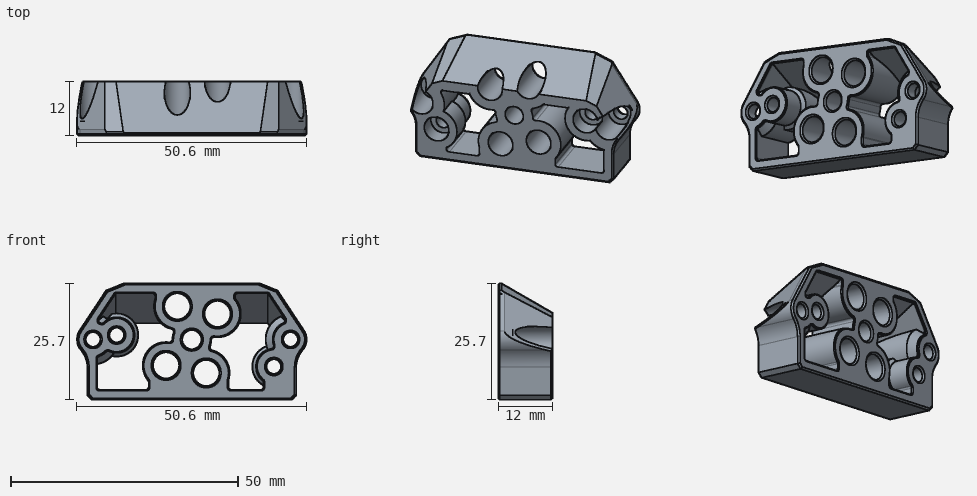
import cadquery as cq
import math

DEPTH = 12.0
HEIGHT = 25.7
EDGE_CHAMFER = 0.4
POCKET_CHAMFER = 0.25

WALL_X = 23.0
NECK_BOTTOM_Z = 7.25
LOBE_R = 3.55
BASE_CORNER = 1.0
RIDGE_X = 14.85
SHOULDER_X = 18.85
SHOULDER_Z = 24.1

ROOF_START_Y = 0.65
ROOF_SLOPE = math.tan(math.radians(30))
FACET_SLOPE = 0.4
EAVE_X = 19.15
ROOF_RIDGE_X = 15.1
EAVE_SLOPE = 0.52
EAVE_RUN = 40.5

FLOOR_Z = 2.25
CEILING_Z = 23.5
POCKET_X = 20.85
CEILING_X = 16.75
CEILING_START_Y = 0.5
POCKET_FILLET = 0.6

HUB = (0, 13.25)
UPPER_OFFSET = (-3.2, 7.35)
SIDE_OFFSET = (5.65, 5.65)
BIG_HOLE_D = 5.7
HUB_HOLE_D = 4.2
SMALL_HOLE_D = 3.2
BIG_BOSS_R = 5.15
HUB_BOSS_R = 4.3
UPPER_WEB_X = 8.1
SIDE_WEB_X = 9.5

LOBE_HOLES = [(-21.75, 13.3), (21.75, 13.3)]
PEG_HOLES = [(-16.55, 14.25), (18.05, 7.35)]
PEG_FOOT_X = 15.8
SMALL_BOSS_R = 3.95

BORE_D = 5.7
LOBE_BORE_DEPTH = 8.8
PEG_BORE_DEPTH = 4.5
LOBE_FLARE_R = 5.5
LOBE_FLARE_Y = 0.4
LOBE_FLARE_LENGTH = 1.6
PEG_FLARE_R = 4.75
PEG_FLARE_Y = 5.3
PEG_FLARE_LENGTH = 0.8


def extrude_y(sketch, start, length):
    """Extrude an XZ sketch towards +Y from y = start."""
    return sketch.extrude(-length).translate((0, start, 0))


def plane():
    return cq.Workplane("XZ")


def cylinder(center, radius, start, length):
    return extrude_y(plane().center(*center).circle(radius), start, length)


def cone(center, start_r, end_r, start, length):
    sketch = plane().workplane(offset=-start).center(*center).circle(start_r)
    return sketch.workplane(offset=-length).circle(end_r).loft(ruled=True)


def block(x0, x1, z0, z1):
    sketch = plane().center((x0 + x1) / 2, (z0 + z1) / 2).rect(x1 - x0, z1 - z0)
    return extrude_y(sketch, 0, DEPTH)


def opposite(center):
    """Point on the other side of the hub."""
    return (2 * HUB[0] - center[0], 2 * HUB[1] - center[1])


upper = (HUB[0] + UPPER_OFFSET[0], HUB[1] + UPPER_OFFSET[1])
side = (HUB[0] + SIDE_OFFSET[0], HUB[1] + SIDE_OFFSET[1])
BIG_HOLES = [upper, opposite(upper), side, opposite(side)]

lobe_x, lobe_z = LOBE_HOLES[1]
to_shoulder = math.atan2(SHOULDER_Z - lobe_z, SHOULDER_X - lobe_x)
shoulder_distance = math.hypot(SHOULDER_X - lobe_x, SHOULDER_Z - lobe_z)
tangent_angle = to_shoulder - math.acos(LOBE_R / shoulder_distance)
side_direction = (math.sin(tangent_angle), -math.cos(tangent_angle))


def lobe_point(angle):
    return (lobe_x + LOBE_R * math.cos(angle), lobe_z + LOBE_R * math.sin(angle))


def make_half_outline():
    """Right half of the block: roof line, lobe, concave neck, wall and corner."""
    overhang = lobe_x - WALL_X
    drop = lobe_z - NECK_BOTTOM_Z
    neck_r = (overhang**2 + drop**2 - LOBE_R**2) / (2 * (LOBE_R + overhang))
    neck_x = WALL_X + neck_r
    neck_angle = math.atan2(-drop, neck_x - lobe_x)
    half_sweep = -neck_angle / 2
    neck_middle = (neck_x - neck_r * math.cos(half_sweep), NECK_BOTTOM_Z + neck_r * math.sin(half_sweep))
    sketch = (
        plane().moveTo(0, 0).lineTo(0, HEIGHT).lineTo(RIDGE_X, HEIGHT).lineTo(SHOULDER_X, SHOULDER_Z)
        .lineTo(*lobe_point(tangent_angle))
        .threePointArc(lobe_point(0), lobe_point(neck_angle))
        .threePointArc(neck_middle, (WALL_X, NECK_BOTTOM_Z))
        .lineTo(WALL_X, BASE_CORNER).lineTo(WALL_X - BASE_CORNER, 0).close()
    )
    return extrude_y(sketch, 0, DEPTH)


def prism(sections):
    """Straight-sided solid through (y, right-hand points) sections mirrored in x = 0."""
    sketch = plane()
    last_y = 0
    for y, points in sections:
        mirrored = [(-x, z) for x, z in reversed(points)]
        sketch = sketch.workplane(offset=last_y - y).polyline(points + mirrored).close()
        last_y = y
    return sketch.loft(ruled=True)


def below(corner):
    """Far end of a side edge that starts at the corner."""
    return (corner[0] + EAVE_RUN * side_direction[0], corner[1] + EAVE_RUN * side_direction[1])


def roof_section(y):
    ridge_z = HEIGHT - ROOF_SLOPE * (y - ROOF_START_Y)
    start_drop = FACET_SLOPE * (EAVE_X - ROOF_RIDGE_X)
    eave_z = HEIGHT - start_drop - EAVE_SLOPE * (y - ROOF_START_Y)
    ridge_x = EAVE_X - (ridge_z - eave_z) / FACET_SLOPE
    eave = (EAVE_X, eave_z)
    return (y, [(ridge_x, ridge_z), eave, below(eave)])


def ceiling_section(y):
    corner = (CEILING_X, CEILING_Z - ROOF_SLOPE * (y - CEILING_START_Y))
    return (y, [corner, below(corner)])


def make_block():
    half = make_half_outline()
    whole = half.union(half.mirror("YZ"))
    whole = whole.faces("<Y or >Y").edges().chamfer(EDGE_CHAMFER)
    return whole.intersect(prism([roof_section(0), roof_section(DEPTH)]))


def make_pockets():
    """Two through pockets under the sloping ceiling, split by the hub and its bosses."""
    right = ceiling_section(CEILING_START_Y)[1]
    left = [(-x, z) for x, z in reversed(right)]
    space = block(-POCKET_X, POCKET_X, FLOOR_Z, CEILING_Z)
    space = space.union(block(-WALL_X, WALL_X, lobe_z, CEILING_Z))
    space = space.intersect(extrude_y(plane().polyline(right + left).close(), 0, DEPTH))
    for center in BIG_HOLES:
        space = space.cut(cylinder(center, BIG_BOSS_R, 0, DEPTH))
    space = space.cut(cylinder(HUB, HUB_BOSS_R, 0, DEPTH))
    for center in LOBE_HOLES + PEG_HOLES:
        space = space.cut(cylinder(center, SMALL_BOSS_R, 0, DEPTH))
    space = space.cut(block(-UPPER_WEB_X, 0, upper[1], HEIGHT))
    space = space.cut(block(0, SIDE_WEB_X, side[1], HEIGHT))
    space = space.cut(block(0, UPPER_WEB_X, 0, opposite(upper)[1]))
    space = space.cut(block(-SIDE_WEB_X, 0, 0, opposite(side)[1]))
    space = space.cut(block(PEG_FOOT_X, POCKET_X, 0, PEG_HOLES[1][1]))
    space = space.edges("|Y").fillet(POCKET_FILLET)
    return space.intersect(prism([ceiling_section(0), ceiling_section(DEPTH)]))


def flare(center, radius, start, length):
    """Boss that widens from the plain boss radius and runs on to the back face."""
    straight = cylinder(center, radius, start + length, DEPTH - start - length)
    return straight.union(cone(center, SMALL_BOSS_R, radius, start, length))


def make_flares():
    """Thicker boss walls around the bores."""
    flares = plane()
    for center in LOBE_HOLES:
        flares = flares.union(flare(center, LOBE_FLARE_R, LOBE_FLARE_Y, LOBE_FLARE_LENGTH))
    for center in PEG_HOLES:
        flares = flares.union(flare(center, PEG_FLARE_R, PEG_FLARE_Y, PEG_FLARE_LENGTH))
    return flares


def make_hole(center, diameter):
    """Through hole with a chamfered front rim."""
    radius = diameter / 2
    rim = cone(center, radius + EDGE_CHAMFER, radius, 0, EDGE_CHAMFER)
    return cylinder(center, radius, 0, DEPTH).union(rim)


def make_bore(center, depth):
    """Wider bore cut into the back face."""
    return cylinder(center, BORE_D / 2, DEPTH - depth, depth)


block_body = make_block()
result = block_body.cut(make_pockets())

front_face = result.faces("<Y").val()
rims = [edge for wire in front_face.innerWires() for edge in wire.Edges()]
result = result.newObject(rims).chamfer(POCKET_CHAMFER)

result = result.union(make_flares().intersect(block_body))

for center in BIG_HOLES:
    result = result.cut(make_hole(center, BIG_HOLE_D))
result = result.cut(make_hole(HUB, HUB_HOLE_D))
for center in LOBE_HOLES:
    result = result.cut(make_hole(center, SMALL_HOLE_D)).cut(make_bore(center, LOBE_BORE_DEPTH))
for center in PEG_HOLES:
    result = result.cut(make_hole(center, SMALL_HOLE_D)).cut(make_bore(center, PEG_BORE_DEPTH))